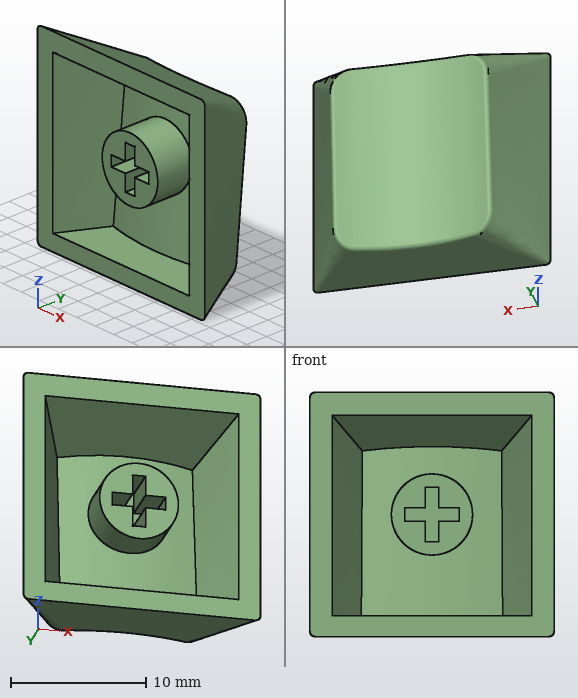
import cadquery as cq
import math


base_size = 18.1
base_half = base_size / 2
top_slope = 0.495
face_tilt = 5.6
face_depth = 7.24
face_half_width = 5.81
base_corner_radius = 0.4
face_corner_radius = 1.9
rim_fillet = 0.27

dish_radius = 16.29
dish_bottom = 5.8
dish_length = 3 * base_size

cavity_half_width = 7.38
cavity_top = 7.33
cavity_bottom = -7.51
cavity_far_depth = 5.43
cavity_far_half_width = 4.92
cavity_roof_radius = 20.27
cavity_roof = 4.16

stem_diameter = 6.01
stem_start = 0.9
cross_length = 4.05
cross_width = 1.0
cross_depth = 3.62


def section(depth, half_width, bottom, top, corner_radius, tilt=0):
    """Rectangle facing Y, tilted about X; depth is where its plane meets Z = 0."""
    angle = math.radians(tilt)
    middle = (bottom + top) / 2
    height = (top - bottom) / math.cos(angle)
    plane = cq.Plane(
        origin=(0, depth + middle * math.tan(angle), middle),
        xDir=(1, 0, 0),
        normal=(0, -math.cos(angle), math.sin(angle)),
    )
    outline = cq.Sketch().rect(2 * half_width, height)
    if corner_radius > 0:
        outline = outline.vertices().fillet(corner_radius)
    return outline.moved(plane.location)


def tapered_block(half_width, bottom, top, far_depth, far_half_width, near_radius=0, far_radius=0):
    """Block narrowing toward a tilted far end, with a straight wall along its bottom."""
    far_top = (top - top_slope * far_depth) / (1 + top_slope * math.tan(math.radians(face_tilt)))
    near = section(0, half_width, bottom, top, near_radius)
    far = section(far_depth, far_half_width, bottom, far_top, far_radius, face_tilt)
    return cq.Workplane("XY").placeSketch(near, far).loft(ruled=True)


def dish_cylinder(radius, depth):
    """Long cylinder lying along Z whose lowest line crosses Z = 0 at the given depth."""
    axis_depth = depth + radius / math.cos(math.radians(face_tilt))
    return (
        cq.Workplane("XY")
        .circle(radius)
        .extrude(dish_length / 2, both=True)
        .rotate((0, 0, 0), (1, 0, 0), -face_tilt)
        .translate((0, axis_depth, 0))
    )


def make_shell():
    blank = tapered_block(
        base_half,
        -base_half,
        base_half,
        face_depth,
        face_half_width,
        base_corner_radius,
        face_corner_radius,
    )
    dished = blank.cut(dish_cylinder(dish_radius, dish_bottom))
    return dished.faces(">Y").edges().fillet(rim_fillet)


def make_cavity():
    block = tapered_block(
        cavity_half_width, cavity_bottom, cavity_top, cavity_far_depth, cavity_far_half_width
    )
    return block.cut(dish_cylinder(cavity_roof_radius, cavity_roof))


def make_stem():
    """Round post, long enough to run into the roof of the cavity."""
    return (
        cq.Workplane("XZ", origin=(0, stem_start, 0))
        .circle(stem_diameter / 2)
        .extrude(-(dish_bottom - stem_start))
    )


def make_cross():
    socket = cq.Workplane("XZ", origin=(0, stem_start, 0))
    across = socket.rect(cross_length, cross_width).extrude(-cross_depth)
    upright = socket.rect(cross_width, cross_length).extrude(-cross_depth)
    return across.union(upright)


shell = make_shell()
cavity = make_cavity()
stem = make_stem().intersect(shell)
result = shell.cut(cavity).union(stem).cut(make_cross())